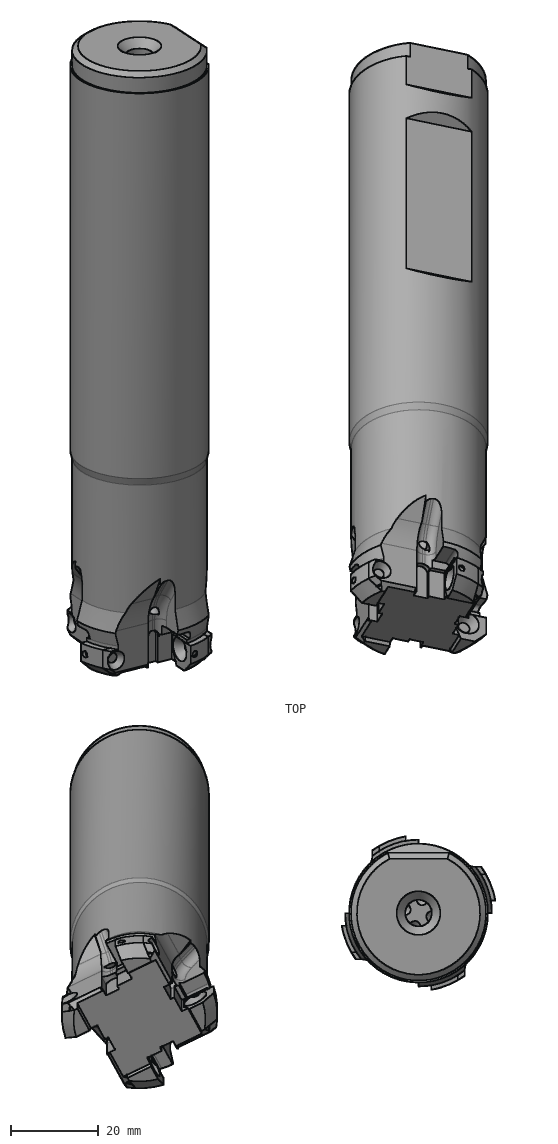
import cadquery as cq
import math

total_height = 151.3
shank_radius = 15.9
neck_radius = 15.5
end_radius = 15.5
end_step_z = 146.5
end_chamfer_height = 1.0
end_chamfer_width = 1.4
shank_bottom_z = 50.2
shank_taper_height = 1.8
head_radius = 16.8
head_bottom_radius = 16.2
head_cone_top_z = 16.3
head_cone_bottom_z = 11.5
head_shelf_z = 8.2
body_bottom_z = 0.9

flat_y = 13.8
rib_crest_top_z = 136.6
rib_crest_bottom_z = 131.0
long_flat_bottom_z = 87.5
flat_end_slope = 0.9
flat_depth = shank_radius - flat_y

bore_radius = 3.0
bore_bottom_z = 18.2
countersink_radius = 5.0
branch_radius = 1.7
branch_start_z = 22.0
branch_exit = (9.7, -2.5, 13.5)

tooth_count = 4
tooth_pitch = 360.0 / tooth_count
flute_floor_x = 10.6
flute_runout_angle = 26.0
flute_runout_radius = 15.1
runout_z = 12.1
gullet_floor_x = 9.7
gullet_runout_angle = 35.0
gullet_runout_radius = 12.0
gullet_width = 4.5
flute_gullet_overlap = 0.9
gullet_fillet = 2.0
slot_floor_x = 8.5
slot_width = 3.3
slot_top_z = 9.4
outside = 24.2

insert_face_y = 2.9
insert_back_y = 9.0
tooth_back_y = flute_floor_x
heel_bevel_height = 1.7
insert_inner_x = 9.8
insert_tip_x = 17.5
insert_top_z = 7.3
insert_corner_chamfer = 2.7
insert_inner_bevel_z = 3.5
insert_inner_bevel_width = 1.5
recess_x = 12.9
recess_z = 4.7
recess_rim_radius = 2.9
recess_floor_radius = 1.4
recess_depth = 2.1
dimple_y = 4.2
dimple_z = 4.8
dimple_radius = 0.8
dimple_floor_x = 16.6
screw_hole_radius = 1.2
screw_hole_rim_radius = 2.3
pocket_inner_x = 9.4
pocket_front_y = -0.9
relief_inner_x = 10.5
relief_back_y = 3.8
relief_top_z = 10.3
relief_fillet = 1.0


def around_axis(shape):
    """Copies of a shape, one for each tooth."""
    start, end = (0, 0, 0), (0, 0, 1)
    return [shape.rotate(start, end, i * tooth_pitch) for i in range(tooth_count)]


def extrude_along_y(points, y_start, y_end):
    """Prism with an XZ outline, running from y_start to y_end."""
    plane = cq.Workplane("XZ", origin=(0, y_start, 0))
    return plane.polyline(points).close().extrude(y_start - y_end)


def turned_blank():
    """Shank, neck and flared head as one turned shape."""
    outline = [
        (0, body_bottom_z),
        (head_bottom_radius, body_bottom_z),
        (head_bottom_radius, head_shelf_z),
        (head_radius, head_cone_bottom_z),
        (neck_radius, head_cone_top_z),
        (neck_radius, shank_bottom_z - shank_taper_height),
        (shank_radius, shank_bottom_z),
        (shank_radius, end_step_z),
        (end_radius, end_step_z),
        (end_radius, total_height - end_chamfer_height),
        (end_radius - end_chamfer_width, total_height),
        (0, total_height),
    ]
    return cq.Workplane("XZ").polyline(outline).close().revolve(360, (0, 0), (0, 1))


def clamping_flats():
    """Material removed for the two flats, with the rib left standing between them."""
    slope_run = flat_depth * flat_end_slope
    crest_y = shank_radius
    upper = [
        (flat_y, rib_crest_top_z + slope_run),
        (crest_y, rib_crest_top_z),
        (crest_y, total_height),
        (flat_y - end_chamfer_width, total_height),
        (flat_y, total_height - end_chamfer_height),
    ]
    lower = [
        (flat_y, long_flat_bottom_z),
        (crest_y, long_flat_bottom_z - slope_run),
        (crest_y, rib_crest_bottom_z),
        (flat_y, rib_crest_bottom_z - slope_run),
    ]
    plane = cq.Workplane("YZ")
    upper_cut = plane.polyline(upper).close().extrude(shank_radius, both=True)
    lower_cut = plane.polyline(lower).close().extrude(shank_radius, both=True)
    return upper_cut.union(lower_cut)


def coolant_bore():
    """Countersunk blind bore down the axis."""
    cone_depth = countersink_radius - bore_radius
    outline = [
        (0, bore_bottom_z),
        (bore_radius, bore_bottom_z),
        (bore_radius, total_height - cone_depth),
        (countersink_radius, total_height),
        (0, total_height),
    ]
    return cq.Workplane("XZ").polyline(outline).close().revolve(360, (0, 0), (0, 1))


def coolant_branch():
    """Sloping hole from the central bore into a gullet."""
    start = cq.Vector(0, 0, branch_start_z)
    run = cq.Vector(*branch_exit) - start
    return cq.Workplane(cq.Solid.makeCylinder(branch_radius, run.Length, start, run))


def runout_cut(floor_x, angle_degrees, radius, y_start, y_end):
    """Cut with a flat floor facing +X that curves, then slopes, out to the surface."""
    angle = math.radians(angle_degrees)

    def arc_point(turn):
        x = floor_x + radius * (1 - math.cos(turn))
        return (x, runout_z + radius * math.sin(turn))

    slope_start = arc_point(angle)
    slope_rise = (outside - slope_start[0]) / math.tan(angle)
    return (
        cq.Workplane("XZ", origin=(0, y_start, 0))
        .moveTo(floor_x, 0)
        .lineTo(floor_x, runout_z)
        .threePointArc(arc_point(angle / 2), slope_start)
        .lineTo(outside, slope_start[1] + slope_rise)
        .lineTo(outside, 0)
        .close()
        .extrude(y_start - y_end)
    )


def flute():
    """Flat-floored flute with a narrower, deeper gullet along the next tooth."""
    floor = runout_cut(
        flute_floor_x,
        flute_runout_angle,
        flute_runout_radius,
        -outside,
        flute_gullet_overlap - gullet_width,
    )
    gullet = runout_cut(gullet_floor_x, gullet_runout_angle, gullet_runout_radius, -gullet_width, 0)
    gullet = gullet.edges("%CIRCLE").fillet(gullet_fillet)
    return floor.union(gullet)


def chip_slot():
    """Round-topped slot in the gullet floor, running down through the end of the body."""
    right_y = pocket_front_y
    left_y = right_y - slot_width
    middle_y = (left_y + right_y) / 2
    shoulder_z = slot_top_z - slot_width / 2
    return (
        cq.Workplane("YZ", origin=(slot_floor_x, 0, 0))
        .moveTo(right_y, 0)
        .lineTo(right_y, shoulder_z)
        .threePointArc((middle_y, slot_top_z), (left_y, shoulder_z))
        .lineTo(left_y, 0)
        .close()
        .extrude(outside - slot_floor_x)
    )


def insert_outline(outer_x):
    """XZ outline of the insert, squared off at outer_x."""
    return [
        (insert_inner_x + insert_inner_bevel_width, 0),
        (insert_inner_x, insert_inner_bevel_z),
        (insert_inner_x, insert_top_z),
        (outer_x, insert_top_z),
        (outer_x, 0),
    ]


def insert_pocket():
    """Open space ahead of the insert face, and the seat the insert fills."""
    clearance = [
        (pocket_inner_x, 0),
        (outside, 0),
        (outside, head_shelf_z),
        (pocket_inner_x, head_shelf_z),
    ]
    ahead = extrude_along_y(clearance, pocket_front_y, insert_face_y)
    return ahead.union(extrude_along_y(insert_outline(outside), insert_face_y, insert_back_y))


def insert_relief():
    """Pocket in the flank above the insert, rounded at its upper back corner."""
    outline = [
        (relief_inner_x, head_shelf_z),
        (outside, head_shelf_z),
        (outside, relief_top_z),
        (relief_inner_x, relief_top_z),
    ]
    relief = extrude_along_y(outline, pocket_front_y, relief_back_y)
    return relief.edges(">Y and >Z").fillet(relief_fillet)


def tooth_envelope():
    """Round, bottom-chamfered space that the inserts and the teeth behind them fill."""
    tip_radius = math.hypot(insert_tip_x, insert_face_y)
    envelope = cq.Workplane("XY").circle(tip_radius).extrude(insert_top_z)
    return envelope.faces("<Z").chamfer(insert_corner_chamfer)


def tooth_backing():
    """Part of the tooth that stands out behind the insert, flush with its flank."""
    block = extrude_along_y(insert_outline(insert_tip_x), insert_back_y, tooth_back_y)
    return block.intersect(tooth_envelope())


def heel_bevel():
    """Wedge that lifts the bottom of the tooth between the insert and the tooth's back."""
    wedge = [(insert_back_y, 0), (tooth_back_y, 0), (tooth_back_y, heel_bevel_height)]
    plane = cq.Workplane("YZ", origin=(gullet_width, 0, 0))
    return plane.polyline(wedge).close().extrude(outside - gullet_width)


def cone_along_y(y, height, start_radius, end_radius):
    """Cone on the screw axis, starting at y and pointing to +Y."""
    start = cq.Vector(recess_x, y, recess_z)
    return cq.Workplane(
        cq.Solid.makeCone(start_radius, end_radius, height, start, cq.Vector(0, 1, 0))
    )


def screw_hole():
    """Tapered hole through the tooth behind the insert."""
    length = tooth_back_y - insert_back_y
    return cone_along_y(insert_back_y, length, screw_hole_radius, screw_hole_rim_radius)


def make_body():
    """Shank with flutes and insert seats, plus the teeth that back the inserts."""
    body = turned_blank().cut(clamping_flats()).cut(coolant_bore())
    cuts = (flute(), chip_slot(), insert_pocket(), insert_relief(), coolant_branch())
    for feature in cuts:
        for cutter in around_axis(feature):
            body = body.cut(cutter)
    for backing in around_axis(tooth_backing()):
        body = body.union(backing)
    for feature in (screw_hole(), heel_bevel()):
        for cutter in around_axis(feature):
            body = body.cut(cutter)
    return body


def make_insert():
    """Insert with a conical recess in its face and a small dimple in its flank."""
    block = extrude_along_y(insert_outline(insert_tip_x), insert_face_y, insert_back_y)
    insert = block.intersect(tooth_envelope())
    recess = cone_along_y(insert_face_y, recess_depth, recess_rim_radius, recess_floor_radius)
    dimple = (
        cq.Workplane("YZ", origin=(dimple_floor_x, dimple_y, dimple_z))
        .circle(dimple_radius)
        .extrude(outside - dimple_floor_x)
    )
    return insert.cut(recess).cut(dimple)


body = make_body()
inserts = around_axis(make_insert())

result = cq.Compound.makeCompound([body.val(), *[insert.val() for insert in inserts]])